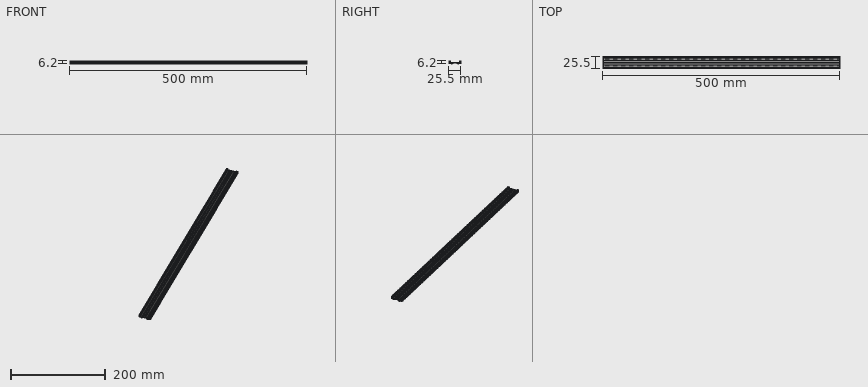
import cadquery as cq

length = 500.0
width = 25.5
half_width = width / 2

flange_width = 3.0
flange_bottom = 1.2
flange_height = 5.0
height = flange_bottom + flange_height
flange_inner = half_width - flange_width

side_groove_z = 4.5
side_groove_half_height = 0.75
side_groove_depth = 0.2

slot_center = half_width - flange_width / 2
slot_half_width = 0.6
slot_depth = 1.5

web_top = 3.75
web_bottom = 2.1
thick_web_start = 4.5
foot_center = 6.75
foot_half_width = 0.6

groove_half_width = 0.75
top_groove_depth = 0.75
bottom_groove_depth = 0.6


def half_outline():
    """Points (y, z) of the +Y half of the section, from top centre to bottom centre."""
    web = [
        (0, web_top - top_groove_depth),
        (groove_half_width, web_top),
        (flange_inner, web_top),
    ]
    flange_top = [
        (flange_inner, height),
        (half_width, height),
    ]
    side_groove = [
        (half_width, side_groove_z + side_groove_half_height),
        (half_width - side_groove_depth, side_groove_z),
        (half_width, side_groove_z - side_groove_half_height),
    ]
    underside_slot = [
        (half_width, flange_bottom),
        (slot_center + slot_half_width, flange_bottom),
        (slot_center + slot_half_width, flange_bottom + slot_depth),
        (slot_center - slot_half_width, flange_bottom + slot_depth),
        (slot_center - slot_half_width, flange_bottom),
    ]
    foot = [
        (foot_center + foot_half_width, flange_bottom),
        (foot_center + foot_half_width, 0),
        (foot_center - foot_half_width, 0),
        (foot_center - foot_half_width, flange_bottom),
    ]
    web_underside = [
        (thick_web_start, flange_bottom),
        (thick_web_start, web_bottom),
        (groove_half_width, web_bottom),
        (0, web_bottom + bottom_groove_depth),
    ]
    return web + flange_top + side_groove + underside_slot + foot + web_underside


right_half = half_outline()
left_half = [(-y, z) for y, z in reversed(right_half[1:-1])]
section = cq.Workplane("YZ").polyline(right_half + left_half).close()
result = section.extrude(length / 2, both=True)